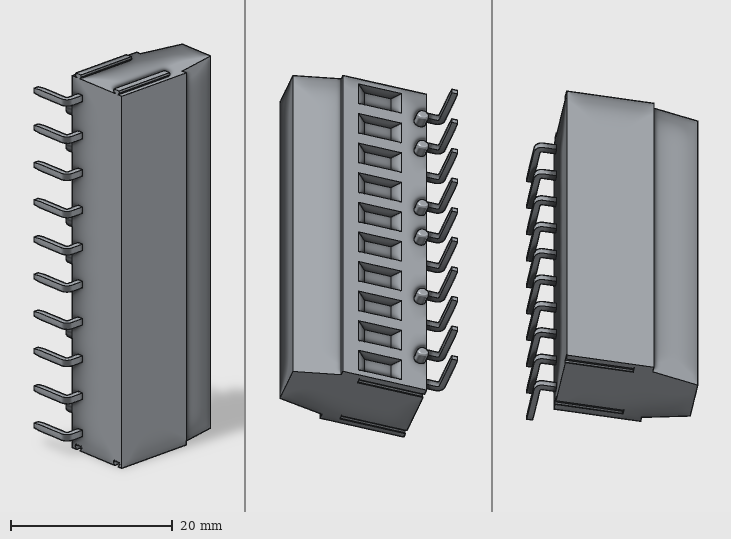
import cadquery as cq


pole_count = 10
total_height = 50.55
rail_height = 0.55
housing_height = total_height - rail_height
pole_pitch = housing_height / pole_count
housing_width = 9.0
housing_depth = 16.8
shoulder_y = 10.9
board_side_shoulder = 0.65
far_side_shoulder = 0.75
crown_start_x = 1.95
crown_end_x = 7.15

rail_length = 8.55
rail_centres_x = (1.1, 8.05)
rail_neck_width = 0.6
rail_widest_width = 1.1
rail_lip_height = 0.25
rail_crest_width = 0.9
groove_depth = 0.65

window_centre_y = 6.05
window_length = 5.6
window_height = 3.3
window_floor_length = 3.45
window_floor_height = 2.6
window_depth = 0.95

pin_thickness = 0.75
pin_width = 0.85
pin_reach_x = 4.1
pin_reach_y = 2.7
pin_outer_x = 1.85
pin_inner_radius = 0.2
pin_outer_radius = pin_inner_radius + pin_thickness
pin_tip_length = 1.05
pin_tip_width = 0.6

peg_boundaries = (1, 3, 5, 6, 8, 9)
peg_diameter = 1.5
peg_length = 1.55
peg_tip_radius = 0.4
peg_y = 0.9


def pole_centre_z(pole):
    return (pole + 0.5) * pole_pitch


def make_housing():
    outline = [
        (0, 0),
        (housing_width, 0),
        (housing_width, shoulder_y),
        (housing_width - far_side_shoulder, shoulder_y),
        (crown_end_x, housing_depth),
        (crown_start_x, housing_depth),
        (board_side_shoulder, shoulder_y),
        (0, shoulder_y),
    ]
    return cq.Workplane("XY").polyline(outline).close().extrude(housing_height)


def make_dovetail(centre_x, base_z, height):
    """Bar along Y whose section widens from a neck, then narrows to a crest."""
    section = [
        (centre_x - rail_neck_width / 2, base_z),
        (centre_x - rail_widest_width / 2, base_z + height - rail_lip_height),
        (centre_x - rail_crest_width / 2, base_z + height),
        (centre_x + rail_crest_width / 2, base_z + height),
        (centre_x + rail_widest_width / 2, base_z + height - rail_lip_height),
        (centre_x + rail_neck_width / 2, base_z),
    ]
    return cq.Workplane("XZ").polyline(section).close().extrude(-rail_length)


def make_window(centre_z):
    """Rectangular funnel, wide at the board face and narrower at its floor."""
    return (
        cq.Workplane("YZ")
        .center(window_centre_y, centre_z)
        .rect(window_length, window_height)
        .workplane(offset=window_depth)
        .rect(window_floor_length, window_floor_height)
        .loft()
    )


def make_pin(centre_z):
    """Flat pin leaving the housing along -Y, bent to -X, with a tapered tip."""
    bent_strip = (
        cq.Workplane("XY")
        .workplane(offset=centre_z - pin_width / 2)
        .moveTo(pin_outer_x, 0)
        .lineTo(pin_outer_x, pin_outer_radius - pin_reach_y)
        .radiusArc((pin_outer_x - pin_outer_radius, -pin_reach_y), pin_outer_radius)
        .lineTo(-pin_reach_x, -pin_reach_y)
        .lineTo(-pin_reach_x, pin_thickness - pin_reach_y)
        .lineTo(pin_outer_x - pin_outer_radius, pin_thickness - pin_reach_y)
        .radiusArc((pin_outer_x - pin_thickness, pin_outer_radius - pin_reach_y), -pin_inner_radius)
        .lineTo(pin_outer_x - pin_thickness, 0)
        .close()
        .extrude(pin_width)
    )
    taper_start_x = pin_tip_length - pin_reach_x
    front_outline = [
        (-pin_reach_x, centre_z - pin_tip_width / 2),
        (taper_start_x, centre_z - pin_width / 2),
        (pin_outer_x, centre_z - pin_width / 2),
        (pin_outer_x, centre_z + pin_width / 2),
        (taper_start_x, centre_z + pin_width / 2),
        (-pin_reach_x, centre_z + pin_tip_width / 2),
    ]
    tapered_bar = cq.Workplane("XZ").polyline(front_outline).close().extrude(pin_reach_y)
    return bent_strip.intersect(tapered_bar)


def make_peg(centre_z):
    return (
        cq.Workplane("YZ")
        .center(peg_y, centre_z)
        .circle(peg_diameter / 2)
        .extrude(-peg_length)
        .faces("<X")
        .edges()
        .fillet(peg_tip_radius)
    )


result = make_housing()

for rail_x in rail_centres_x:
    result = result.union(make_dovetail(rail_x, housing_height, rail_height))
    result = result.cut(make_dovetail(rail_x, 0, groove_depth))

for pole in range(pole_count):
    result = result.cut(make_window(pole_centre_z(pole)))
    result = result.union(make_pin(pole_centre_z(pole)))

for boundary in peg_boundaries:
    result = result.union(make_peg(boundary * pole_pitch))